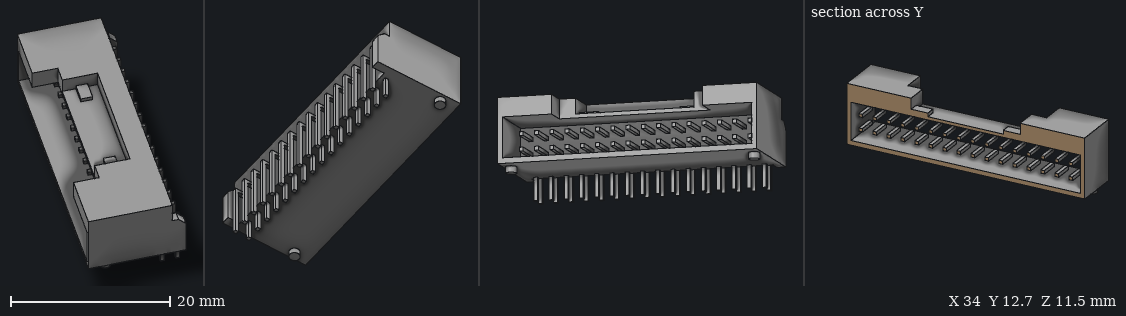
import cadquery as cq


length = 34.0
depth = 12.7
height = 8.5
rear_wall_y = 10.9
ear_width = 1.2
ear_height = 5.75
ear_chamfer = 1.0

side_wall = 0.65
floor_thickness = 0.7
cavity_top = 5.95
cavity_depth = 7.92

notch_width = 19.8
notch_depth = 3.33
recess_width = 15.5
recess_floor = 6.45
latch_length = 2.38
latch_width = 1.53
latch_height = 0.5
latch_front = 5.1

row_count = 2
pin_count = 16
pin_row_length = 30.0
pitch = pin_row_length / (pin_count - 1)
pin_size = 0.5
pin_tip_y = 3.7
pin_drop = 3.0
lower_pin_z = 2.45
inner_leg_y = 10.1

peg_diameter = 1.43
peg_height = 0.8
peg_y = 2.45
peg_edge_gap = 0.35


def block(x_range, y_range, z_range):
    """Axis-aligned box spanning the given (low, high) ranges."""
    ranges = (x_range, y_range, z_range)
    sizes = [high - low for low, high in ranges]
    corner = tuple(low for low, high in ranges)
    return cq.Workplane("XY").box(*sizes, centered=False).translate(corner)


def centred(width):
    """X range of a feature centred on the part."""
    return (-width / 2, width / 2)


def make_housing():
    body = block(centred(length), (0, rear_wall_y), (0, height))
    ear = (
        block((-length / 2, -length / 2 + ear_width), (0, depth), (0, ear_height))
        .edges(">Y and >Z")
        .chamfer(ear_chamfer)
    )
    body = body.union(ear).union(ear.mirror("YZ"))
    cavity = block(centred(length - 2 * side_wall), (0, cavity_depth), (floor_thickness, cavity_top))
    notch = block(centred(notch_width), (0, notch_depth), (floor_thickness, height))
    recess = block(centred(recess_width), (0, cavity_depth), (recess_floor, height))
    return body.cut(cavity).cut(notch).cut(recess)


def make_latch():
    """Left latch block, standing on the recess floor against its side."""
    recess_side = -recess_width / 2
    return block(
        (recess_side, recess_side + latch_length),
        (latch_front, latch_front + latch_width),
        (recess_floor, recess_floor + latch_height),
    )


def make_pin(x, contact_z, leg_y):
    """Right-angle pin: a contact along Y that turns down into a board leg."""
    half = pin_size / 2
    x_range = (x - half, x + half)
    contact = block(x_range, (pin_tip_y, leg_y + half), (contact_z - half, contact_z + half))
    leg = block(x_range, (leg_y - half, leg_y + half), (-pin_drop, contact_z + half))
    return contact.union(leg)


def make_peg():
    """Left locating peg under the housing."""
    peg_x = -length / 2 + peg_edge_gap + peg_diameter / 2
    return cq.Workplane("XY").center(peg_x, peg_y).circle(peg_diameter / 2).extrude(-peg_height)


result = make_housing()

for feature in (make_latch(), make_peg()):
    result = result.union(feature).union(feature.mirror("YZ"))

for column in range(pin_count):
    pin_x = column * pitch - pin_row_length / 2
    for row in range(row_count):
        pin = make_pin(pin_x, lower_pin_z + row * pitch, inner_leg_y + row * pitch)
        result = result.union(pin)